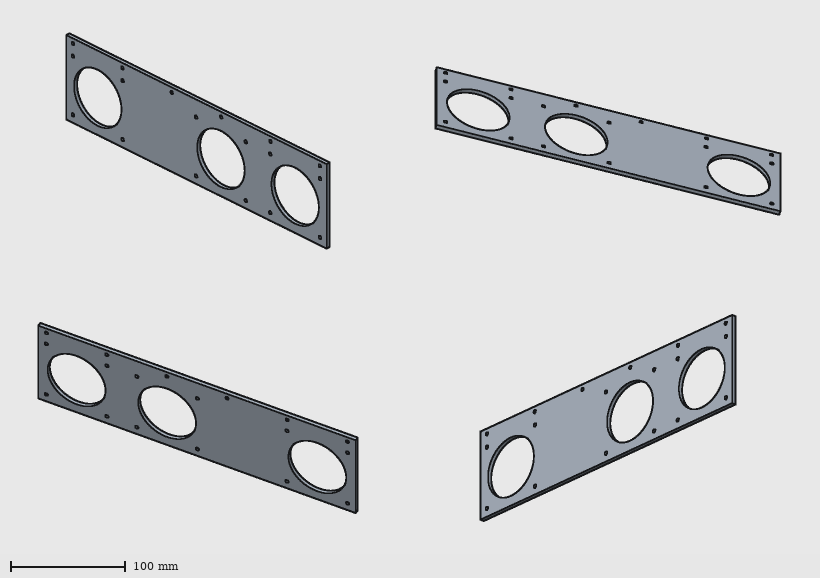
import cadquery as cq

length = 313.2
thickness = 4.0
height = 86.0

fan_opening_diameter = 57.0
fan_screw_diameter = 3.0
fan_screw_spacing = 59.8
fan_center_xs = (-118.7, 29.5, 118.7)
fan_center_z = -5.0

mount_hole_diameter = 3.0
mount_hole_count = 6
mount_row_span = 297.0
mount_hole_pitch = mount_row_span / (mount_hole_count - 1)
mount_row_z = 38.0


def through_cylinders(points, diameter):
    """Cylinders along Y at the given (x, z) points, spanning the plate thickness."""
    return (
        cq.Workplane("XZ")
        .pushPoints(points)
        .circle(diameter / 2)
        .extrude(thickness, both=True)
    )


fan_centers = [(x, fan_center_z) for x in fan_center_xs]

half_spacing = fan_screw_spacing / 2
fan_screws = [
    (x + side * half_spacing, z + level * half_spacing)
    for x, z in fan_centers
    for side in (-1, 1)
    for level in (-1, 1)
]

row_start_x = -mount_row_span / 2
mount_holes = [
    (row_start_x + i * mount_hole_pitch, mount_row_z) for i in range(mount_hole_count)
]

plate = cq.Workplane("XY").box(length, thickness, height)
result = (
    plate.cut(through_cylinders(fan_centers, fan_opening_diameter))
    .cut(through_cylinders(fan_screws, fan_screw_diameter))
    .cut(through_cylinders(mount_holes, mount_hole_diameter))
)